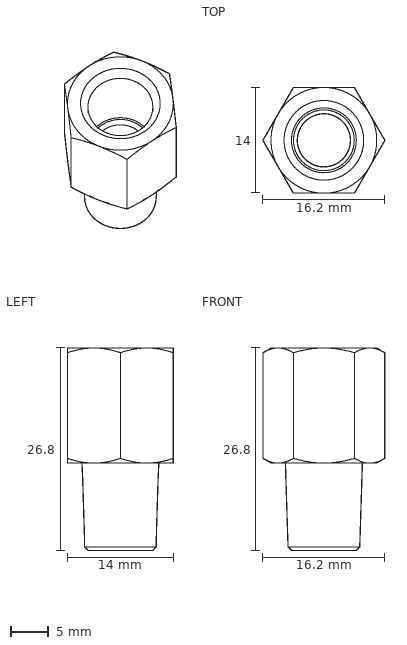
import cadquery as cq
import math

total_height = 26.8
hex_height = 15.22
across_flats = 14.0
stem_height = total_height - hex_height

stem_root_diameter = 10.2
stem_tip_diameter = 9.51
tip_chamfer = 0.5

corner_chamfer_angle = 30.0

through_diameter = 7.0
socket_diameter = 8.58
socket_depth = 12.05
floor_cone_diameter = 8.05
floor_cone_angle = 45.0
countersink_diameter = 10.53
countersink_angle = 45.0


def revolve_profile(points):
    """Revolve a closed (radius, height) outline about the Z axis."""
    return cq.Workplane("XZ").polyline(points).close().revolve(360, (0, 0), (0, 1))


def make_hexagon():
    """Hexagonal body with its corners turned conical at both ends."""
    across_corners = across_flats / math.cos(math.radians(30))
    flat_radius = across_flats / 2
    corner_radius = across_corners / 2
    corner_drop = (corner_radius - flat_radius) * math.tan(math.radians(corner_chamfer_angle))
    prism = cq.Workplane("XY").workplane(offset=stem_height).polygon(6, across_corners).extrude(hex_height)
    turned_envelope = revolve_profile([
        (0, stem_height),
        (flat_radius, stem_height),
        (corner_radius, stem_height + corner_drop),
        (corner_radius, total_height - corner_drop),
        (flat_radius, total_height),
        (0, total_height),
    ])
    return prism.intersect(turned_envelope)


def make_stem():
    """Tapered stem with a chamfered tip."""
    tip_radius = stem_tip_diameter / 2
    return revolve_profile([
        (0, 0),
        (tip_radius - tip_chamfer, 0),
        (tip_radius, tip_chamfer),
        (stem_root_diameter / 2, stem_height),
        (0, stem_height),
    ])


def make_bore():
    """Countersunk socket with a flat ledge, then a cone narrowing to the through hole."""
    through_radius = through_diameter / 2
    socket_radius = socket_diameter / 2
    cone_radius = floor_cone_diameter / 2
    mouth_radius = countersink_diameter / 2
    countersink_depth = (mouth_radius - socket_radius) / math.tan(math.radians(countersink_angle))
    socket_floor = total_height - socket_depth
    cone_depth = (cone_radius - through_radius) / math.tan(math.radians(floor_cone_angle))
    return revolve_profile([
        (0, 0),
        (through_radius, 0),
        (through_radius, socket_floor - cone_depth),
        (cone_radius, socket_floor),
        (socket_radius, socket_floor),
        (socket_radius, total_height - countersink_depth),
        (mouth_radius, total_height),
        (0, total_height),
    ])


result = make_hexagon().union(make_stem()).cut(make_bore())